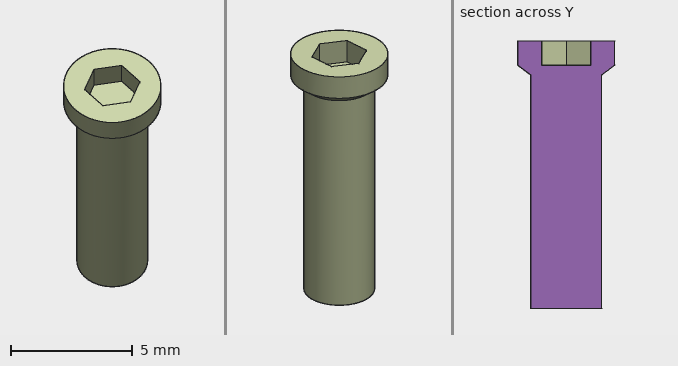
import cadquery as cq
import math

total_length = 11.0
head_diameter = 4.0
shank_diameter = 2.93
rim_height = 1.0
cone_height = 0.41
socket_across_flats = 2.0
socket_depth = 1.0

head_radius = head_diameter / 2
shank_radius = shank_diameter / 2
rim_bottom = total_length - rim_height
shank_top = rim_bottom - cone_height
socket_across_corners = socket_across_flats / math.cos(math.pi / 6)


def make_body():
    """Shank, conical underside and cylindrical head, revolved about Z."""
    return (
        cq.Workplane("XZ")
        .moveTo(0, 0)
        .lineTo(shank_radius, 0)
        .lineTo(shank_radius, shank_top)
        .lineTo(head_radius, rim_bottom)
        .lineTo(head_radius, total_length)
        .lineTo(0, total_length)
        .close()
        .revolve(360, (0, 0, 0), (0, 1, 0))
    )


def make_socket():
    """Hexagonal drive recess with two corners on the Y axis."""
    return (
        cq.Workplane("XY", origin=(0, 0, total_length - socket_depth))
        .transformed(rotate=(0, 0, 90))
        .polygon(6, socket_across_corners)
        .extrude(socket_depth)
    )


result = make_body().cut(make_socket())